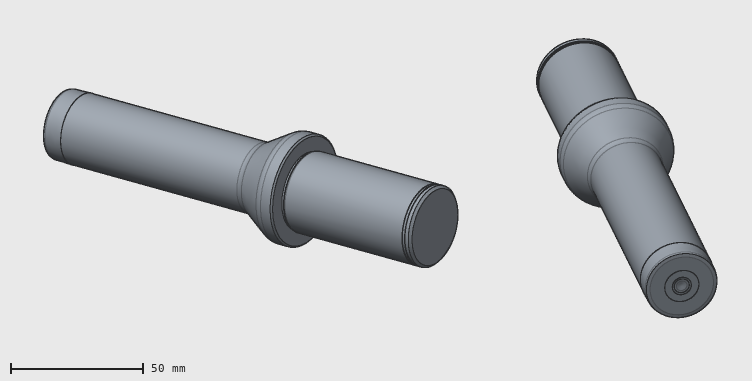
import cadquery as cq
import math

total_length = 172.0
tip_length = 8.6
flange_straight_start = 106.8
flange_back = 112.0
shank_start = 113.0

bar_radius = 28.0 / 2
tip_front_radius = 27.9 / 2
tip_back_radius = 28.2 / 2
tip_face_radius = 24.6 / 2
tip_shoulder_radius = 27.3 / 2
tip_shoulder_x = 0.3
tip_rim_x = 1.2

boss_radius = 13.2 / 2
boss_height = 0.2
recess_radius = 7.4 / 2
inner_recess_radius = 5.8 / 2
cone_recess_radius = 4.1 / 2
recess_step = 0.2
cone_recess_depth = 0.3

flange_radius = 44.0 / 2
cone_angle = math.radians(30)
blend_radius = 5.2
flange_chamfer = 0.7

neck_radius = 30.8 / 2
shank_radius = 32.0 / 2
groove_radius = 31.5 / 2
shank_front_chamfer_length = 0.9
shank_front_chamfer_depth = 0.25
groove_start = 168.0
groove_end = 169.2
shank_end_chamfer = 1.0


def revolve_about_x(profile):
    """Turn a closed half profile (x, radius) around the X axis."""
    return profile.close().revolve(360, (0, 0, 0), (1, 0, 0))


def make_tip():
    """End piece with a bevelled rim, a low boss and a shallow recess ending in a flat cone."""
    inner_floor = 2 * recess_step
    return revolve_about_x(
        cq.Workplane("XY")
        .moveTo(inner_floor + cone_recess_depth, 0)
        .lineTo(inner_floor, cone_recess_radius)
        .lineTo(inner_floor, inner_recess_radius)
        .lineTo(recess_step, inner_recess_radius)
        .lineTo(recess_step, recess_radius)
        .lineTo(0, recess_radius)
        .lineTo(0, boss_radius)
        .lineTo(boss_height, boss_radius)
        .lineTo(boss_height, tip_face_radius)
        .lineTo(tip_shoulder_x, tip_shoulder_radius)
        .lineTo(tip_rim_x, tip_front_radius)
        .lineTo(tip_length, tip_back_radius)
        .lineTo(tip_length, 0)
    )


def make_holder():
    """Bar, cone, flange, neck and grooved shank in one turned piece."""
    blend_length = blend_radius * math.sin(cone_angle)
    blend_rise = blend_radius * (1 - math.cos(cone_angle))
    half_length = blend_radius * math.sin(cone_angle / 2)
    half_rise = blend_radius * (1 - math.cos(cone_angle / 2))

    cone_end_radius = flange_radius - blend_rise
    cone_start_radius = bar_radius + blend_rise
    cone_end = flange_straight_start - blend_length
    cone_start = cone_end - (cone_end_radius - cone_start_radius) / math.tan(cone_angle)
    bar_end = cone_start - blend_length

    return revolve_about_x(
        cq.Workplane("XY")
        .moveTo(tip_length, 0)
        .lineTo(tip_length, bar_radius)
        .lineTo(bar_end, bar_radius)
        .threePointArc((bar_end + half_length, bar_radius + half_rise), (cone_start, cone_start_radius))
        .lineTo(cone_end, cone_end_radius)
        .threePointArc(
            (flange_straight_start - half_length, flange_radius - half_rise),
            (flange_straight_start, flange_radius),
        )
        .lineTo(flange_back - flange_chamfer, flange_radius)
        .lineTo(flange_back, flange_radius - flange_chamfer)
        .lineTo(flange_back, neck_radius)
        .lineTo(shank_start, neck_radius)
        .lineTo(shank_start, shank_radius - shank_front_chamfer_depth)
        .lineTo(shank_start + shank_front_chamfer_length, shank_radius)
        .lineTo(groove_start, shank_radius)
        .lineTo(groove_start, groove_radius)
        .lineTo(groove_end, groove_radius)
        .lineTo(groove_end, shank_radius)
        .lineTo(total_length - shank_end_chamfer, shank_radius)
        .lineTo(total_length, shank_radius - shank_end_chamfer)
        .lineTo(total_length, 0)
    )


tip = make_tip()
holder = make_holder()

result = cq.Compound.makeCompound([tip.val(), holder.val()])